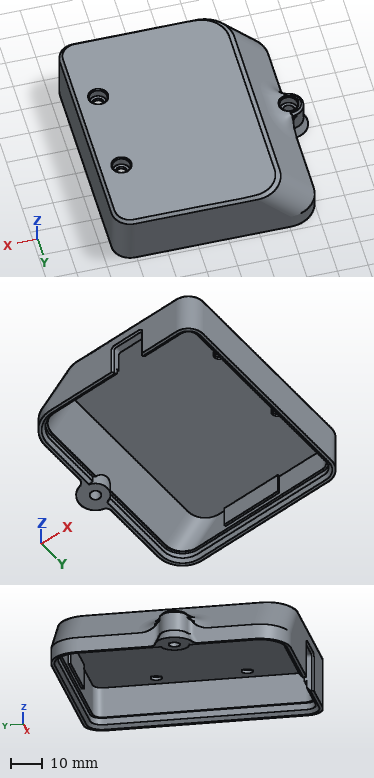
import cadquery as cq
import math

LENGTH = 67.1
WIDTH = 77.2
HEIGHT = 17.45
SLOPE_START_Z = 4.9
SLOPE_RUN = 11.8
LEFT_RADIUS = 10.0
RIGHT_RADIUS = 6.0
TOP_CHAMFER = 1.0

WALL = 3.0
CEILING = 4.0
RABBET_DEPTH = 0.8
RABBET_HEIGHT = 3.4
MOUTH_CHAMFER = 1.15

WINDOW_CENTER_X = 41.0
WINDOW_WIDTH = 11.3
WINDOW_HEIGHT = 12.1
WINDOW_RADIUS = 1.0
WINDOW_CHAMFER = 0.6

PAD_RIGHT_X = 43.55
PAD_BOTTOM_Z = 5.2
PAD_THICKNESS = 0.8

HOLE_DIAMETER = 3.6
HEAD_DIAMETER = 5.7
HEAD_DEPTH = 3.0
HEAD_CHAMFER = 0.4
HEAD_CLEARANCE = 1.55
HOLE_X = 59.2
HOLE_SPACING = 29.3

BOSS_Y = -3.0
BOSS_RADIUS = 4.7
BOSS_HEIGHT = 9.95
BOSS_CHAMFER = 0.8
FOOT_RADIUS = 6.2
FOOT_HEIGHT = 3.0
GUSSET_RADIUS = 2.0
GUSSET_EDGE_Z = 7.25
GUSSET_CREST_Z = 8.3
BLEND_RADIUS = 10.0
BLEND_HALF_WIDTH = BOSS_RADIUS - BOSS_CHAMFER
BLEND_CORE_RADIUS = 0.7
BLEND_ROOT_DEPTH = 1.55

SLOPE_RISE = HEIGHT - SLOPE_START_Z
SLOPE_ANGLE = math.atan2(SLOPE_RISE, SLOPE_RUN)

CORNER_MID = 1 - math.sqrt(0.5)


def slope_x(z):
    """X of the outer sloped face at height z."""
    return (z - SLOPE_START_Z) * SLOPE_RUN / SLOPE_RISE


def outline(z, left_x, inset):
    """Rounded plan outline at height z, inset from the cover's outer sides."""
    right_x = LENGTH - inset
    half_width = WIDTH / 2 - inset
    left_r = LEFT_RADIUS - inset
    right_r = RIGHT_RADIUS - inset
    left_mid = left_r * CORNER_MID
    right_mid = right_r * CORNER_MID
    return (
        cq.Workplane("XY", origin=(0, 0, z))
        .moveTo(left_x + left_r, -half_width)
        .lineTo(right_x - right_r, -half_width)
        .threePointArc((right_x - right_mid, -half_width + right_mid), (right_x, -half_width + right_r))
        .lineTo(right_x, half_width - right_r)
        .threePointArc((right_x - right_mid, half_width - right_mid), (right_x - right_r, half_width))
        .lineTo(left_x + left_r, half_width)
        .threePointArc((left_x + left_mid, half_width - left_mid), (left_x, half_width - left_r))
        .lineTo(left_x, -half_width + left_r)
        .threePointArc((left_x + left_mid, -half_width + left_mid), (left_x + left_r, -half_width))
        .close()
    )


def ruled_between(lower, upper):
    """Straight-sided solid between two matching outlines."""
    solid = cq.Solid.makeLoft([lower.val(), upper.val()], True)
    return cq.Workplane(obj=solid)


def make_outer_body():
    base = outline(0, 0, 0).extrude(SLOPE_START_Z)
    sloped = ruled_between(outline(SLOPE_START_Z, 0, 0), outline(HEIGHT, SLOPE_RUN, 0))
    sloped = sloped.faces(">Z").edges().chamfer(TOP_CHAMFER)
    return base.union(sloped)


def make_cavity():
    ceiling_z = HEIGHT - CEILING
    slope_inset = WALL / math.sin(SLOPE_ANGLE)
    knee_z = SLOPE_START_Z - (slope_inset - WALL) * math.tan(SLOPE_ANGLE)
    ceiling_left_x = slope_x(ceiling_z) + slope_inset
    straight = outline(0, WALL, WALL).extrude(knee_z)
    sloped = ruled_between(outline(knee_z, WALL, WALL), outline(ceiling_z, ceiling_left_x, WALL))

    lip = WALL - RABBET_DEPTH
    rim = lip - MOUTH_CHAMFER
    rabbet = outline(0, lip, lip).extrude(RABBET_HEIGHT)
    mouth = ruled_between(outline(0, rim, rim), outline(MOUTH_CHAMFER, lip, lip))
    return straight.union(sloped).union(rabbet).union(mouth)


def make_wall_pad():
    """Thin block hanging from the ceiling against the inside of the +Y wall."""
    inner_y = WIDTH / 2 - WALL
    left_x = SLOPE_RUN + LEFT_RADIUS
    return (
        cq.Workplane("XY", origin=(0, 0, PAD_BOTTOM_Z))
        .moveTo(left_x, inner_y - PAD_THICKNESS)
        .lineTo(PAD_RIGHT_X, inner_y - PAD_THICKNESS)
        .lineTo(PAD_RIGHT_X, inner_y + PAD_THICKNESS)
        .lineTo(left_x, inner_y + PAD_THICKNESS)
        .close()
        .extrude(HEIGHT - CEILING / 2 - PAD_BOTTOM_Z)
    )


def window_outline(y, offset):
    """Arched-corner window outline, open at the bottom, grown by offset."""
    half = WINDOW_WIDTH / 2 + offset
    top = WINDOW_HEIGHT + offset
    radius = WINDOW_RADIUS + offset
    mid = radius * CORNER_MID
    return (
        cq.Workplane("XZ", origin=(WINDOW_CENTER_X, y, 0))
        .moveTo(-half, 0)
        .lineTo(half, 0)
        .lineTo(half, top - radius)
        .threePointArc((half - mid, top - mid), (half - radius, top))
        .lineTo(-half + radius, top)
        .threePointArc((-half + mid, top - mid), (-half, top - radius))
        .close()
    )


def make_window():
    outer_y = -WIDTH / 2
    opening = window_outline(outer_y + WALL, 0).extrude(WALL)
    bevel = ruled_between(
        window_outline(outer_y, WINDOW_CHAMFER), window_outline(outer_y + WINDOW_CHAMFER, 0)
    )
    return opening.union(bevel)


def make_screw_hole(x, y, top_z):
    """Through hole with a chamfered head pocket, cleared of material above top_z."""
    head_r = HEAD_DIAMETER / 2
    shank_r = HOLE_DIAMETER / 2
    floor_z = top_z - HEAD_DEPTH
    return (
        cq.Workplane("XZ")
        .moveTo(0, 0)
        .lineTo(shank_r, 0)
        .lineTo(shank_r, floor_z)
        .lineTo(head_r, floor_z)
        .lineTo(head_r, top_z - HEAD_CHAMFER)
        .lineTo(head_r + HEAD_CHAMFER, top_z)
        .lineTo(head_r + HEAD_CHAMFER, top_z + HEAD_CLEARANCE)
        .lineTo(0, top_z + HEAD_CLEARANCE)
        .close()
        .revolve(360, (0, 0, 0), (0, 1, 0))
        .translate((x, y, 0))
    )


def gusset_outline(z, radius):
    """Round boss nose at height z with concave gussets running out to the left face."""
    center_distance = radius + GUSSET_RADIUS
    wall_y = math.sqrt(center_distance**2 - GUSSET_RADIUS**2)
    touch_x = -GUSSET_RADIUS * radius / center_distance
    touch_y = wall_y * radius / center_distance
    mid_angle = math.atan2(wall_y, GUSSET_RADIUS) / 2
    mid_x = -GUSSET_RADIUS + GUSSET_RADIUS * math.cos(mid_angle)
    mid_y = wall_y - GUSSET_RADIUS * math.sin(mid_angle)
    return (
        cq.Workplane("XY", origin=(0, BOSS_Y, z))
        .moveTo(0, -wall_y)
        .threePointArc((mid_x, -mid_y), (touch_x, -touch_y))
        .threePointArc((-radius, 0), (touch_x, touch_y))
        .threePointArc((mid_x, mid_y), (0, wall_y))
        .close()
    )


def make_boss():
    post = (
        cq.Workplane("XY", origin=(0, BOSS_Y, 0))
        .circle(BOSS_RADIUS)
        .extrude(BOSS_HEIGHT)
        .faces(">Z")
        .chamfer(BOSS_CHAMFER)
    )
    foot = ruled_between(gusset_outline(0, FOOT_RADIUS), gusset_outline(FOOT_HEIGHT, BOSS_RADIUS))

    edge_y = BOSS_RADIUS + GUSSET_RADIUS
    gusset_limit = (
        cq.Workplane("YZ", origin=(-BOSS_RADIUS, BOSS_Y, 0))
        .moveTo(-edge_y, 0)
        .lineTo(edge_y, 0)
        .lineTo(edge_y, GUSSET_EDGE_Z)
        .lineTo(BOSS_RADIUS, GUSSET_CREST_Z)
        .lineTo(-BOSS_RADIUS, GUSSET_CREST_Z)
        .lineTo(-edge_y, GUSSET_EDGE_Z)
        .close()
        .extrude(BOSS_RADIUS)
    )
    gussets = gusset_outline(FOOT_HEIGHT, BOSS_RADIUS).extrude(BOSS_HEIGHT - FOOT_HEIGHT)
    return post.union(foot).union(gussets.intersect(gusset_limit))


def make_boss_blend():
    """Concave flare joining the boss top to the sloped face, rounded at both ends."""
    along_x = math.cos(SLOPE_ANGLE)
    along_z = math.sin(SLOPE_ANGLE)
    tangent_length = BLEND_RADIUS * math.tan(SLOPE_ANGLE / 2)
    reach = BLEND_CORE_RADIUS + BLEND_RADIUS * math.sin(SLOPE_ANGLE)
    crest = BLEND_RADIUS * (1 - math.cos(SLOPE_ANGLE))
    half_angle = SLOPE_ANGLE / 2
    mid_u = reach - BLEND_RADIUS * math.sin(half_angle)
    mid_v = BLEND_RADIUS * (1 - math.cos(half_angle))

    axis_offset = tangent_length - reach
    axis_x = slope_x(BOSS_HEIGHT) + axis_offset * along_x
    axis_z = BOSS_HEIGHT + axis_offset * along_z

    def flare_section(y):
        plane = cq.Plane(origin=(axis_x, y, axis_z), xDir=(along_x, 0, along_z), normal=(0, -1, 0))
        return (
            cq.Workplane(plane)
            .moveTo(0, -BLEND_ROOT_DEPTH)
            .lineTo(reach, -BLEND_ROOT_DEPTH)
            .lineTo(reach, 0)
            .threePointArc((mid_u, mid_v), (BLEND_CORE_RADIUS, crest))
            .lineTo(0, crest)
            .close()
        )

    blend = flare_section(BOSS_Y + BLEND_HALF_WIDTH).extrude(2 * BLEND_HALF_WIDTH)
    for side in (-1, 1):
        end = flare_section(BOSS_Y + side * BLEND_HALF_WIDTH).revolve(360, (0, 0, 0), (0, 1, 0))
        blend = blend.union(end)
    inside_left_face = cq.Workplane("XY").box(LENGTH, WIDTH, HEIGHT, centered=(False, True, False))
    return blend.intersect(inside_left_face)


result = make_outer_body().cut(make_cavity())
result = result.cut(make_window())
result = result.union(make_wall_pad())
result = result.union(make_boss_blend().cut(make_cavity()))
result = result.union(make_boss())
result = result.cut(make_screw_hole(0, BOSS_Y, BOSS_HEIGHT))
for hole_y in (-HOLE_SPACING / 2, HOLE_SPACING / 2):
    result = result.cut(make_screw_hole(HOLE_X, hole_y, HEIGHT))